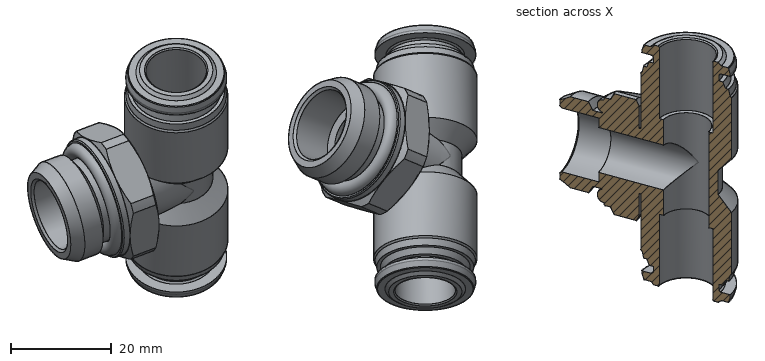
import cadquery as cq

run_half_length = 27.5
sleeve_radius = 20.5 / 2
core_radius = 7.25
core_half_height = 2.75
sleeve_bottom = 6.05
sleeve_top = 20.2

cap_base_z = 20.55
cap_base_radius = 9.95
cap_step_z = 22.0
cap_step_outer_radius = 9.6
cap_step_inner_radius = 8.9
cap_top_z = 23.3
cap_top_radius = 8.35

collar_neck_radius = 7.4
collar_neck_top = 24.6
collar_root_radius = 7.8
flange_bottom = 24.9
flange_radius = 10.0
flange_edge_z = 25.5
flange_top = 26.9
flange_edge_break = 0.15
flange_top_radius = 9.6
lip_base_radius = 8.0
lip_top_radius = 7.25

passage_radius = 10.2 / 2
socket_radius = 6.0
socket_depth = 16.5
socket_chamfer = 0.3

neck_end_radius = 7.55
hex_start = 10.5
hex_end = 17.0
hex_across_flats = 25.0
hex_corner_radius = 27.8 / 2
hex_chamfer_length = 0.7
seat_end = 18.25
seat_radius = 24.8 / 2
seat_edge_end = 18.55
seat_edge_radius = 12.2
relief_radius = 8.75
seal_section_radius = 1.55
seal_ring_radius = relief_radius + seal_section_radius
relief_end = 20.95
thread_radius = 20.95 / 2
thread_start = 22.0
thread_end = 26.05
overall_depth = 38.8
port_end = overall_depth - sleeve_radius
port_end_radius = 9.15
port_bore_radius = 7.25
port_bore_depth = 8.8
port_chamfer = 0.5


def cylinder_z(radius, bottom, top):
    return cq.Workplane("XY").workplane(offset=bottom).circle(radius).extrude(top - bottom)


def cylinder_y(radius, start, end):
    """Cylinder on the branch axis between two distances from the run axis."""
    return cq.Workplane("XZ").workplane(offset=start).circle(radius).extrude(end - start)


def revolve_z(profile):
    """Revolve (radius, z) points about the run axis."""
    return cq.Workplane("XZ").polyline(profile).close().revolve(360, (0, 0), (0, 1))


def revolve_y(profile):
    """Revolve (radius, distance) points about the branch axis."""
    points = [(radius, -distance) for radius, distance in profile]
    return cq.Workplane("XY").polyline(points).close().revolve(360, (0, 0), (0, 1))


def run_half():
    return revolve_z([
        (0, 0),
        (core_radius, 0),
        (core_radius, core_half_height),
        (sleeve_radius, sleeve_bottom),
        (sleeve_radius, sleeve_top),
        (cap_base_radius, cap_base_z),
        (cap_step_outer_radius, cap_step_z),
        (cap_step_inner_radius, cap_step_z),
        (cap_top_radius, cap_top_z),
        (collar_neck_radius, cap_top_z),
        (collar_neck_radius, collar_neck_top),
        (collar_root_radius, flange_bottom),
        (flange_radius, flange_bottom),
        (flange_radius, flange_edge_z),
        (flange_top_radius, flange_top - flange_edge_break),
        (flange_top_radius - flange_edge_break, flange_top),
        (lip_base_radius, flange_top),
        (lip_top_radius, run_half_length),
        (0, run_half_length),
    ])


def hexagon():
    """Hexagon with two flats facing +X and -X and turned, chamfered corners."""
    prism = (
        cq.Workplane("XZ").workplane(offset=hex_start)
        .polygon(6, hex_across_flats, circumscribed=True)
        .extrude(hex_end - hex_start)
    )
    flat_radius = hex_across_flats / 2
    turned_envelope = revolve_y([
        (0, hex_start),
        (flat_radius, hex_start),
        (hex_corner_radius, hex_start + hex_chamfer_length),
        (hex_corner_radius, hex_end - hex_chamfer_length),
        (flat_radius, hex_end),
        (0, hex_end),
    ])
    return prism.intersect(turned_envelope)


def seat_and_thread():
    """Seal seat, relief groove and plain thread body."""
    return revolve_y([
        (0, hex_end),
        (seat_radius, hex_end),
        (seat_radius, seat_end),
        (seat_edge_radius, seat_edge_end),
        (relief_radius, seat_edge_end),
        (relief_radius, relief_end),
        (thread_radius, thread_start),
        (thread_radius, thread_end),
        (port_end_radius, port_end),
        (0, port_end),
    ])


def seal_ring():
    """Round-section ring bedded in the face of the seal seat."""
    return (
        cq.Workplane("XY")
        .center(0, -seat_edge_end)
        .moveTo(seal_ring_radius, 0)
        .circle(seal_section_radius)
        .revolve(360, (0, 0), (0, 1))
    )


def branch_neck():
    """Slightly flared neck from the run axis to the hexagon."""
    return revolve_y([
        (0, 0),
        (core_radius, 0),
        (neck_end_radius, hex_start),
        (0, hex_start),
    ])


def socket():
    """Tube socket in the upper end of the run, with a chamfered mouth."""
    return revolve_z([
        (0, run_half_length - socket_depth),
        (socket_radius, run_half_length - socket_depth),
        (socket_radius, run_half_length - socket_chamfer),
        (socket_radius + socket_chamfer, run_half_length),
        (0, run_half_length),
    ])


def port_bore():
    """Wide bore in the threaded end, with a chamfered mouth."""
    return revolve_y([
        (0, port_end - port_bore_depth),
        (port_bore_radius, port_end - port_bore_depth),
        (port_bore_radius, port_end - port_chamfer),
        (port_bore_radius + port_chamfer, port_end),
        (0, port_end),
    ])


upper_half = run_half()
body = upper_half.union(upper_half.mirror("XY"))
body = body.union(branch_neck())
body = body.union(hexagon())
body = body.union(seat_and_thread())
body = body.union(seal_ring())

upper_socket = socket()
body = body.cut(cylinder_z(passage_radius, -run_half_length, run_half_length))
body = body.cut(upper_socket).cut(upper_socket.mirror("XY"))
body = body.cut(cylinder_y(passage_radius, 0, port_end))
result = body.cut(port_bore())